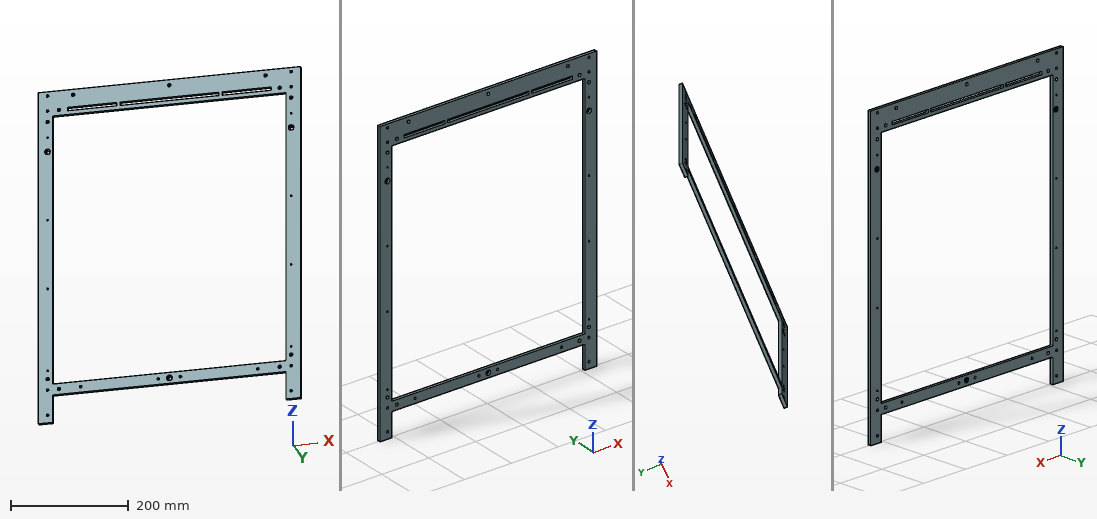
import cadquery as cq
WIDTH = 461.7
THICKNESS = 6.35
HEIGHT = 604.0
TOP = HEIGHT / 2
BOTTOM = -HEIGHT / 2
FRONT = -THICKNESS / 2
CORNER_RADIUS = 1.0

CUTTER_DEPTH = 2 * THICKNESS

SIDE_RAIL_WIDTH = 25.35
TOP_RAIL_HEIGHT = 45.0
BOTTOM_RAIL_HEIGHT = 20.0
LEG_HEIGHT = 50.0
OPENING_WIDTH = WIDTH - 2 * SIDE_RAIL_WIDTH
OPENING_TOP = TOP - TOP_RAIL_HEIGHT
BOTTOM_RAIL_UNDERSIDE = BOTTOM + LEG_HEIGHT
OPENING_BOTTOM = BOTTOM_RAIL_UNDERSIDE + BOTTOM_RAIL_HEIGHT
INSIDE_RADIUS = 2.0

SLOT_HEIGHT = 6.0
SLOT_CORNER_RADIUS = 1.0
SLOT_Z = TOP - 35.0
CENTRE_SLOT_LENGTH = 173.5
SIDE_SLOT_LENGTH = 86.5
SLOT_GAP = 6.0
SIDE_SLOT_X = CENTRE_SLOT_LENGTH / 2 + SLOT_GAP + SIDE_SLOT_LENGTH / 2

PILOT_DIAMETER = 2.5
SMALL_DIAMETER = 4.2
LARGE_DIAMETER = 5.5
COUNTERBORE_DIAMETER = 9.75
COUNTERBORE_DEPTH = 5.0

RAIL_HOLE_X = 214.5
INNER_HOLE_X = 194.5
TOP_HOLE_X = 169.5
BOTTOM_OUTER_X = 156.0
BOTTOM_INNER_X = 19.5

TOP_CORNER_Z = TOP - 7.5
TOP_HOLE_Z = TOP - 10.0
BOTTOM_RAIL_Z = BOTTOM_RAIL_UNDERSIDE + BOTTOM_RAIL_HEIGHT / 2
FOOT_Z = BOTTOM + 14.0
UPPER_LARGE_Z = OPENING_TOP - 10.0
LOWER_LARGE_Z = OPENING_BOTTOM + 10.0
COUNTERBORE_Z = TOP - 109.5
PILOT_ROWS = (218.5, 68.0, -57.5, -207.0)


def mirrored(x, z):
    """A point and its mirror image about the vertical centre line."""
    return [(-x, z), (x, z)]


def block(width, bottom, top):
    """A box through the plate, centred in X, between two heights."""
    box = cq.Workplane("XY").box(width, CUTTER_DEPTH, top - bottom)
    return box.translate((0, 0, (bottom + top) / 2))


def make_frame():
    """The outer plate with its window and the notch between the legs."""
    plate = cq.Workplane("XY").box(WIDTH, THICKNESS, HEIGHT)
    plate = plate.edges("|Y").fillet(CORNER_RADIUS)
    window = block(OPENING_WIDTH, OPENING_BOTTOM, OPENING_TOP).edges("|Y").fillet(INSIDE_RADIUS)
    notch = block(OPENING_WIDTH, BOTTOM, BOTTOM_RAIL_UNDERSIDE).edges("|Y and >Z").fillet(INSIDE_RADIUS)
    return plate.cut(window).cut(notch)


def slot_cutter(x, length):
    """A rounded-corner rectangle through the plate at the slot height."""
    cutter = cq.Workplane("XY").box(length, CUTTER_DEPTH, SLOT_HEIGHT)
    return cutter.edges("|Y").fillet(SLOT_CORNER_RADIUS).translate((x, 0, SLOT_Z))


def cut_slots(plate):
    """Cut the row of three slots through the top rail."""
    plate = plate.cut(slot_cutter(0, CENTRE_SLOT_LENGTH))
    for x in (-SIDE_SLOT_X, SIDE_SLOT_X):
        plate = plate.cut(slot_cutter(x, SIDE_SLOT_LENGTH))
    return plate


def drill(plate, points, diameter, depth=THICKNESS):
    """Cut round holes into the plate from its front face."""
    front_plane = cq.Workplane("XZ", origin=(0, FRONT, 0))
    return plate.cut(front_plane.pushPoints(points).circle(diameter / 2).extrude(-depth))


def drill_pilot_holes(plate):
    """Cut the smallest holes down both side rails."""
    points = []
    for row in PILOT_ROWS:
        points += mirrored(RAIL_HOLE_X, row)
    return drill(plate, points, PILOT_DIAMETER)


def drill_small_holes(plate):
    """Cut the small holes at the corners, in the feet and along the bottom rail."""
    points = (
        mirrored(RAIL_HOLE_X, TOP_CORNER_Z)
        + mirrored(RAIL_HOLE_X, SLOT_Z)
        + mirrored(RAIL_HOLE_X, BOTTOM_RAIL_Z)
        + mirrored(RAIL_HOLE_X, FOOT_Z)
        + mirrored(BOTTOM_OUTER_X, BOTTOM_RAIL_Z)
        + mirrored(BOTTOM_INNER_X, BOTTOM_RAIL_Z)
    )
    return drill(plate, points, SMALL_DIAMETER)


def drill_large_holes(plate):
    """Cut the large holes in the top rail, the side rails and beside the rail joints."""
    points = (
        mirrored(TOP_HOLE_X, TOP_HOLE_Z)
        + [(0, TOP_HOLE_Z)]
        + mirrored(RAIL_HOLE_X, UPPER_LARGE_Z)
        + mirrored(RAIL_HOLE_X, LOWER_LARGE_Z)
        + mirrored(INNER_HOLE_X, SLOT_Z)
        + mirrored(INNER_HOLE_X, BOTTOM_RAIL_Z)
    )
    return drill(plate, points, LARGE_DIAMETER)


def drill_counterbored_holes(plate):
    """Cut the counterbored holes in the side rails and the middle of the bottom rail."""
    points = mirrored(RAIL_HOLE_X, COUNTERBORE_Z) + [(0, BOTTOM_RAIL_Z)]
    plate = drill(plate, points, LARGE_DIAMETER)
    return drill(plate, points, COUNTERBORE_DIAMETER, COUNTERBORE_DEPTH)


frame = make_frame()
frame = cut_slots(frame)
frame = drill_pilot_holes(frame)
frame = drill_small_holes(frame)
frame = drill_large_holes(frame)
frame = drill_counterbored_holes(frame)

result = frame